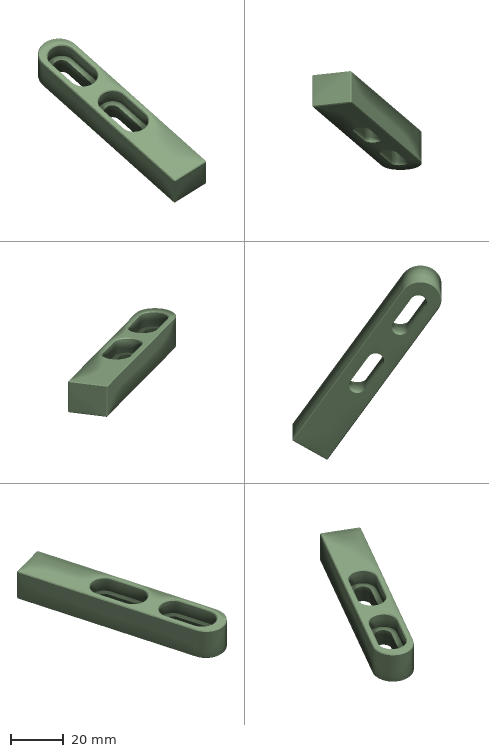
import cadquery as cq

length = 85.7
width = 15.9
height = 12.7
edge_chamfer = 0.36
nose_radius = width / 2

slot_width = 6.5
counterbore_width = 10.9
counterbore_depth = 6.0
slot_travel = 12.7
first_slot_x = 15.9
slot_pitch = 30.0
slot_count = 2


def make_bar():
    """Bar with a half-round nose at X = 0 and its top, bottom and +X face edges chamfered."""
    outline = (
        cq.Workplane("XY")
        .moveTo(nose_radius, -width / 2)
        .lineTo(length, -width / 2)
        .lineTo(length, width / 2)
        .lineTo(nose_radius, width / 2)
        .threePointArc((0, 0), (nose_radius, -width / 2))
        .close()
    )
    bar = outline.extrude(height)
    return bar.faces("<Z or >Z or >X").edges().chamfer(edge_chamfer)


def slot_prism(center_x, prism_width, bottom_z, prism_height, taper=0):
    """Round-ended prism lying along X; a negative taper widens it upwards."""
    return (
        cq.Workplane("XY", origin=(center_x, 0, bottom_z))
        .slot2D(slot_travel + prism_width, prism_width)
        .extrude(prism_height, taper=taper)
    )


def counterbored_slot(center_x):
    """Through slot, its counterbore and the 45 degree bevel around the mouth."""
    through = slot_prism(center_x, slot_width, 0, height)
    counterbore = slot_prism(center_x, counterbore_width, height - counterbore_depth, counterbore_depth)
    bevel = slot_prism(center_x, counterbore_width, height - edge_chamfer, edge_chamfer, taper=-45)
    return through.union(counterbore).union(bevel)


result = make_bar()
for index in range(slot_count):
    result = result.cut(counterbored_slot(first_slot_x + index * slot_pitch))